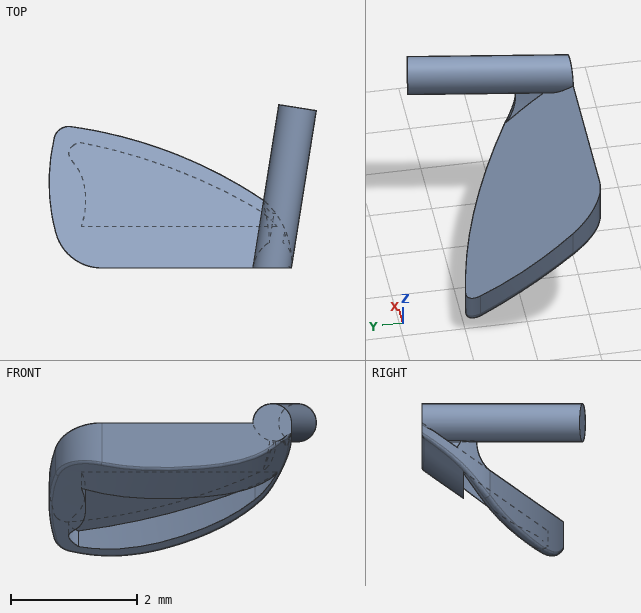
import cadquery as cq
import math

hosel_diameter = 0.605
hosel_radius = hosel_diameter / 2
hosel_lean = 9.0
hosel_foot_x = 3.528
overall_y = 2.59

face_angle = 35.0
leading_edge_start = 0.835
toe_low = (0.1, 0.563)
toe_high = (0.075, 2.05)
section_toe_x = -0.042
toe_thickness = 0.395
sole_points = [
    (0.255, -0.5), (0.845, -0.66), (1.523, -0.735), (2.285, -0.725),
    (3.215, -0.563), (3.51, -0.415), (3.68, -0.285), (3.89, -0.195),
]
top_line_start = (0.34, 2.24)
heel_rear = (3.392, 1.075)
heel_end = (3.832, 0)
sole_edge_radius = 0.065

face_thickness = 0.317
cavity_front_y = 0.66
cavity_toe_x = 0.508
cavity_heel = (3.605, cavity_front_y)
cavity_rear_heel = (3.255, 0.955)

web_top_y = 0.867
web_bottom_y = 1.05
web_top_half_width = 0.105
web_waist = (0.178, -0.485)

depth_limit = 3.385
face_slope = math.tan(math.radians(face_angle))


def vertical_prism(outline):
    """Extend a closed XY outline through the full height of the part."""
    return outline.extrude(2 * depth_limit).translate((0, 0, -depth_limit * 1.5))


def sloping_prism(outline):
    """Sweep a closed XZ outline rearward, parallel to the face."""
    travel = cq.Vector(0, depth_limit, -depth_limit * face_slope)
    return cq.Workplane(cq.Solid.extrudeLinear(outline.wires().val(), [], travel))


def make_hosel():
    lean = math.radians(hosel_lean)
    tip_distance = (overall_y - hosel_radius * math.sin(lean)) / math.cos(lean)
    axis = cq.Vector(math.sin(lean), math.cos(lean), 0)
    foot = cq.Vector(hosel_foot_x, 0, 0)
    start = foot - axis * hosel_diameter
    bar = cq.Solid.makeCylinder(hosel_radius, tip_distance + hosel_diameter, start, axis)
    rear_space = cq.Workplane().box(
        4 * depth_limit, depth_limit, depth_limit, centered=(True, False, True)
    )
    return rear_space.intersect(cq.Workplane(bar))


def blade_outline():
    return (
        cq.Workplane("XY")
        .moveTo(*heel_end)
        .lineTo(leading_edge_start, 0)
        .tangentArcPoint(toe_low, relative=False)
        .threePointArc((0, 1.225), toe_high)
        .threePointArc((0.16, 2.19), top_line_start)
        .threePointArc((1.945, 1.827), heel_rear)
        .threePointArc((3.73, 0.615), heel_end)
        .close()
    )


def make_blade():
    section = (
        cq.Workplane("XZ")
        .moveTo(section_toe_x, 0)
        .lineTo(section_toe_x, -toe_thickness)
        .spline(sole_points, includeCurrent=True)
        .lineTo(sole_points[-1][0], 0)
        .close()
    )
    blade = vertical_prism(blade_outline()).intersect(sloping_prism(section))
    sole_edges = blade.faces("not(%PLANE or %CYLINDER)").edges()
    return sole_edges.fillet(sole_edge_radius)


def make_cavity():
    outline = (
        cq.Workplane("XY")
        .moveTo(*cavity_heel)
        .lineTo(cavity_toe_x, cavity_front_y)
        .spline([(0.575, 1.1), (0.445, 1.585), (0.31, 1.8), (0.465, 1.992)], includeCurrent=True)
        .threePointArc((1.945, 1.578), cavity_rear_heel)
        .tangentArcPoint(cavity_heel, relative=False)
        .close()
    )
    section = (
        cq.Workplane("XZ")
        .moveTo(0, -face_thickness)
        .lineTo(depth_limit * 2, -face_thickness)
        .lineTo(depth_limit * 2, -depth_limit)
        .lineTo(0, -depth_limit)
        .close()
    )
    return vertical_prism(outline).intersect(sloping_prism(section))


def make_web():
    side = (
        cq.Workplane("YZ")
        .lineTo(web_top_y, 0)
        .lineTo(web_top_y, -hosel_radius)
        .threePointArc((0.915, -0.53), (web_bottom_y, -web_bottom_y * face_slope))
        .close()
        .extrude(2 * depth_limit)
    )
    waist, waist_z = web_waist
    web_bottom_z = -web_bottom_y * face_slope
    taper = (
        cq.Workplane("XZ")
        .moveTo(-web_top_half_width, 0)
        .lineTo(web_top_half_width, 0)
        .lineTo(web_top_half_width, -hosel_radius)
        .threePointArc((waist, waist_z), (hosel_radius, web_bottom_z))
        .lineTo(-hosel_radius, web_bottom_z)
        .threePointArc((-waist, waist_z), (-web_top_half_width, -hosel_radius))
        .close()
        .extrude(depth_limit, both=True)
        .rotate((0, 0, 0), (0, 0, 1), -hosel_lean)
        .translate((hosel_foot_x, 0, 0))
    )
    return side.intersect(taper).intersect(vertical_prism(blade_outline()))


result = make_blade().cut(make_cavity()).union(make_web()).union(make_hosel())